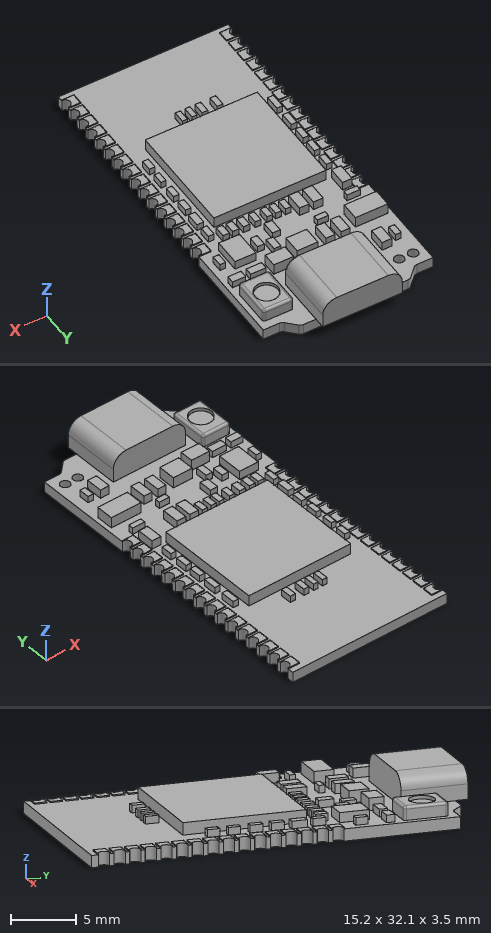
import cadquery as cq


board_width = 15.23
board_thickness = 1.0
shoulder_y = 30.0
tab_y = 31.08
tab_top_width = 9.75
tab_blend_radius = 0.5

pad_count = 16
pad_first_y = 1.03
pad_row_span = 19.05
pad_pitch = pad_row_span / (pad_count - 1)
pad_length = 1.1
pad_width = 1.0
pad_thickness = 0.1
castellation_diameter = 0.9

pair_hole_diameter = 0.85
pair_hole_pitch = 1.25
pair_center_x = -5.93
pair_center_y = 28.77

usb_width = 7.12
usb_length = 5.45
usb_height = 2.5
usb_end_y = 32.07
usb_corner_radius = usb_height / 2

button_x = 5.77
button_y = 27.4
button_width = 2.73
button_length = 3.65
button_height = 1.12
button_edge_radius = 0.22
button_dimple_diameter = 2.05
button_dimple_depth = 0.3
button_dimple_x = 5.8
button_dimple_y = 27.52

low_height = 0.6
mid_height = 0.8
tall_height = 1.0

main_chip_side = 10.05
main_chip_x = -0.05
main_chip_y = 13.4

component_groups = [
    ((2.92, 1.65), tall_height, [(-5.75, 23.22)]),
    ((1.85, 1.65), tall_height, [(0.48, 24.0)]),
    ((1.75, 1.25), tall_height, [(2.85, 24.55)]),
    ((1.85, 2.4), mid_height, [(5.05, 21.97)]),
    ((0.85, 1.55), mid_height, [(-5.13, 26.5)]),
    ((0.8, 1.57), mid_height, [(-3.05, 23.83), (-1.7, 23.83)]),
    ((0.85, 1.65), mid_height, [(-6.0, 19.25), (-2.98, 19.9), (-1.73, 19.9)]),
    ((1.0, 0.48), low_height, [(-2.37, 22.15)]),
    ((1.2, 0.48), low_height, [(-5.85, 21.0)]),
    ((1.38, 0.67), low_height, [(4.87, 24.47)]),
    ((1.2, 0.67), low_height, [(6.6, 24.47)]),
    ((0.5, 1.0), low_height, [(-6.38, 26.4), (6.77, 22.2)]),
    ((0.6, 1.15), low_height, [(2.28, 22.77)]),
    ((0.6, 1.05), low_height, [(3.25, 21.97)]),
    ((0.7, 1.25), low_height, [(1.45, 21.2)]),
    ((0.5, 1.0), low_height, [(x, 19.6) for x in (-0.67, 0.2, 0.95, 2.02)]),
    ((0.58, 1.0), low_height, [(x, 19.6) for x in (3.05, 4.0, 4.87)]),
    ((0.5, 1.05), low_height, [(-5.9, 17.03)]),
    ((0.5, 1.15), low_height, [(-5.9, 15.23), (-5.9, 13.6)]),
    ((0.5, 1.25), low_height, [(-5.9, 11.8)]),
    ((0.5, 1.35), low_height, [(-5.9, 9.65)]),
    ((0.5, 1.05), low_height, [(5.9, y) for y in (19.05, 15.68, 13.95)]),
    ((0.6, 1.25), low_height, [(5.93, 17.4)]),
    ((0.45, 1.0), low_height, [(5.93, 12.15)]),
    ((0.5, 1.0), low_height, [(5.9, 10.45)]),
    ((0.5, 1.05), low_height, [(-2.12, 7.25), (-0.77, 7.25)]),
    ((0.45, 1.05), low_height, [(0.15, 7.25), (1.03, 7.25)]),
]


def blocks(size_x, size_y, height, centers):
    """Equal rectangular blocks standing on the board, one at each (x, y) centre."""
    return (
        cq.Workplane("XY", origin=(0, 0, board_thickness))
        .pushPoints(centers)
        .rect(size_x, size_y)
        .extrude(height)
    )


def make_board():
    """Board outline with a 45-degree shouldered tab under the USB connector."""
    half_board = board_width / 2
    half_tab = tab_top_width / 2
    half_shoulder = half_tab + tab_y - shoulder_y
    outline = [
        (-half_board, 0),
        (half_board, 0),
        (half_board, shoulder_y),
        (half_shoulder, shoulder_y),
        (half_tab, tab_y),
        (-half_tab, tab_y),
        (-half_shoulder, shoulder_y),
        (-half_board, shoulder_y),
    ]
    board = cq.Workplane("XY").polyline(outline).close().extrude(board_thickness)
    margin = tab_blend_radius
    tab_region = cq.selectors.BoxSelector(
        (-half_shoulder - margin, shoulder_y - margin, -margin),
        (half_shoulder + margin, tab_y + margin, board_thickness + margin),
    )
    return board.edges("|Z").edges(tab_region).fillet(tab_blend_radius)


def add_edge_pads(board):
    """Thin pads along both long sides, each notched by a half-round castellation."""
    pad_centers = []
    notch_centers = []
    for side in (-1, 1):
        pad_x = side * (board_width - pad_length) / 2
        for index in range(pad_count):
            pad_y = pad_first_y + index * pad_pitch
            pad_centers.append((pad_x, pad_y))
            notch_centers.append((side * board_width / 2, pad_y))
    pads = blocks(pad_length, pad_width, pad_thickness, pad_centers)
    notches = (
        cq.Workplane("XY")
        .pushPoints(notch_centers)
        .circle(castellation_diameter / 2)
        .extrude(board_thickness + pad_thickness)
    )
    return board.union(pads).cut(notches)


def cut_pair_holes(board):
    """Two through holes side by side."""
    holes = (
        cq.Workplane("XY")
        .center(pair_center_x, pair_center_y)
        .rarray(pair_hole_pitch, 0.32, 2, 1)
        .circle(pair_hole_diameter / 2)
        .extrude(board_thickness)
    )
    return board.cut(holes)


def make_usb_connector():
    """Connector shell with both upper long edges rounded, overhanging the tab."""
    shell = blocks(usb_width, usb_length, usb_height, [(0, usb_end_y - usb_length / 2)])
    return shell.faces(">Z").edges("|Y").fillet(usb_corner_radius)


def make_button():
    """Button body with rounded corners and top rim, and a round dimple on top."""
    body = blocks(button_width, button_length, button_height, [(button_x, button_y)])
    body = body.edges("|Z or >Z").fillet(button_edge_radius)
    dimple = (
        cq.Workplane("XY", origin=(button_dimple_x, button_dimple_y, board_thickness + button_height))
        .circle(button_dimple_diameter / 2)
        .extrude(-button_dimple_depth)
    )
    return body.cut(dimple)


def add_components(board):
    """Rectangular surface-mount components, including the main chip."""
    main_chip = blocks(main_chip_side, main_chip_side, tall_height, [(main_chip_x, main_chip_y)])
    board = board.union(main_chip)
    for (size_x, size_y), height, centers in component_groups:
        board = board.union(blocks(size_x, size_y, height, centers))
    return board


result = make_board()
result = add_edge_pads(result)
result = cut_pair_holes(result)
result = add_components(result)
result = result.union(make_usb_connector())
result = result.union(make_button())